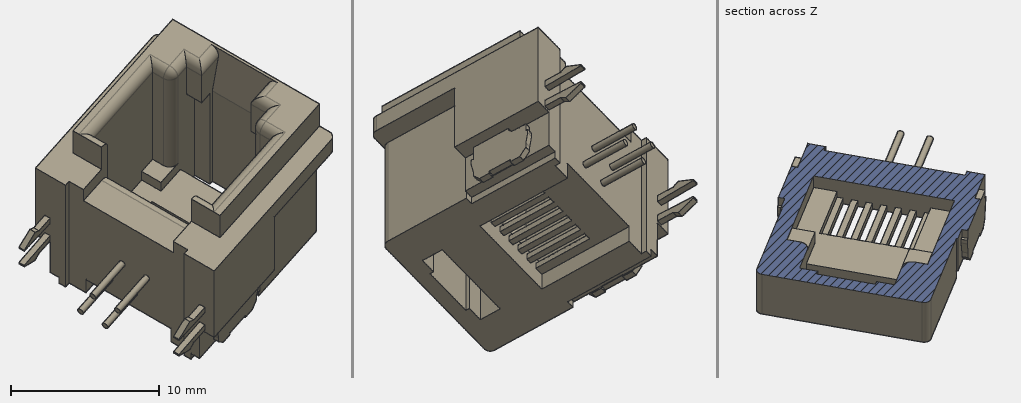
import cadquery as cq


body_height = 14.0
body_depth = 14.0
body_half_width = 6.09
corner_radius = 0.5
wing_half_width = 14.8 / 2
wing_top = 11.51
wing_lip_bottom = 10.0
wing_bottom = 4.0
wing_back = 6.97
collar_front = 2.5
board_recess_half_width = 4.91
board_recess_depth = 0.4

clip_inner = 6.19
clip_outer = 6.63
base_step_half_width = 5.47
base_step_height = 0.65

mouth_radius = 0.7
cavity_half_width = 4.9
cavity_front = 3.21
cavity_back = 10.03
shoulder_half_width = 3.3
shoulder_back = 11.71
key_half_width = 2.04
ledge_height = 10.25
undercut_back = 12.66
rear_wall_base_y = 12.95
rear_wall_top_y = 13.8
rear_wall_half_width = 3.06
front_notch_half_width = 3.72

floor_height = 2.5
floor_back = 11.02
corner_block_front = 8.77
corner_block_top = 3.47
contact_bed_half_width = 3.26
contact_bed_back = 7.7
contact_bed_height = 2.0
contact_count = 6
contact_pitch = 1.02
contact_slot_width = 0.58
bottom_pocket_half_width = 3.52
bottom_pocket_height = 1.5

pin_radius = 0.24
protrusion = 3.0
upper_pin_z = 5.7
lower_pin_z = 3.16
pin_centres = [
    (-contact_pitch / 2, upper_pin_z),
    (1.5 * contact_pitch, upper_pin_z),
    (-1.5 * contact_pitch, lower_pin_z),
    (contact_pitch / 2, lower_pin_z),
]


def block(half_width, y_range, z_range):
    """Box symmetric about X = 0."""
    return span_block((-half_width, half_width), y_range, z_range)


def span_block(x_range, y_range, z_range):
    """Box between the given limits."""
    size = [high - low for low, high in (x_range, y_range, z_range)]
    corner = (x_range[0], y_range[0], z_range[0])
    return cq.Workplane("XY").box(*size, centered=False).translate(corner)


def both_sides(shape):
    """The shape together with its mirror image across X = 0."""
    return shape.union(shape.mirror("YZ"))


def side_plate(profile):
    """Plate as thick as the clip metal, from a (y, z) outline, at the +X side."""
    plate = cq.Workplane("YZ").workplane(offset=clip_inner)
    return plate.polyline(profile).close().extrude(clip_outer - clip_inner)


def make_housing():
    core = block(body_half_width, (collar_front, body_depth), (0, body_height))
    core = core.edges("|Z and >Y").fillet(corner_radius)
    collar = block(body_half_width, (collar_front, body_depth), (wing_top, body_height))
    base = block(clip_inner, (0, wing_back), (0, wing_bottom))
    wings = block(wing_half_width, (0, wing_back), (wing_bottom, wing_top))
    lip = block(wing_half_width, (0, body_depth), (wing_lip_bottom, wing_top))
    lip = lip.edges("|Z and >Y").fillet(corner_radius)
    housing = core.union(collar).union(base).union(wings).union(lip)

    base_step = span_block(
        (base_step_half_width, wing_half_width), (0, wing_back), (0, base_step_height)
    )
    board_recess = block(board_recess_half_width, (0, board_recess_depth), (0, wing_top))
    return housing.cut(both_sides(base_step)).cut(board_recess)


def cut_cavity(housing):
    half_outline = [
        (cavity_half_width, cavity_front),
        (cavity_half_width, cavity_back),
        (shoulder_half_width, cavity_back),
        (shoulder_half_width, shoulder_back),
        (key_half_width, shoulder_back),
        (key_half_width, body_depth),
    ]
    mirrored = [(-x, y) for x, y in reversed(half_outline)]
    cavity = (
        cq.Workplane("XY")
        .workplane(offset=floor_height)
        .polyline(half_outline + mirrored)
        .close()
        .extrude(body_height - floor_height)
    )
    housing = housing.cut(cavity)

    reach = 0.02
    mouth = cq.selectors.BoxSelector(
        (-cavity_half_width - reach, cavity_front - reach, body_height - reach),
        (cavity_half_width + reach, body_depth - reach, body_height + reach),
    )
    uprights = [
        cq.selectors.BoxSelector(
            (x - reach, cavity_back - reach, 0), (x + reach, cavity_back + reach, body_height)
        )
        for x in (-shoulder_half_width, shoulder_half_width)
    ]
    return housing.edges(mouth + uprights[0] + uprights[1]).fillet(mouth_radius)


def add_rear_wall(housing):
    """Wall behind the key slot, leaning back above the ledge height."""
    profile = [
        (body_depth, 0),
        (rear_wall_base_y, 0),
        (rear_wall_base_y, ledge_height),
        (rear_wall_top_y, body_height),
        (body_depth, body_height),
    ]
    wall = cq.Workplane("YZ").polyline(profile).close().extrude(rear_wall_half_width, both=True)
    return housing.union(wall)


def cut_latch_passage(housing):
    """Undercut below the shoulders and the opening down through the bottom."""
    undercut = block(shoulder_half_width, (shoulder_back, undercut_back), (0, ledge_height))
    key_slot = block(key_half_width, (floor_back, rear_wall_base_y), (0, ledge_height))
    drop = block(shoulder_half_width, (floor_back, undercut_back), (0, floor_height))
    return housing.cut(undercut).cut(key_slot).cut(drop)


def cut_front_notch(housing):
    notch = block(front_notch_half_width, (0, cavity_front), (ledge_height, body_height))
    housing = housing.cut(notch)
    sill = cq.selectors.NearestToPointSelector((0, cavity_front, ledge_height))
    return housing.edges("|X").edges(sill).fillet(mouth_radius)


def shape_floor(housing):
    corner_block = span_block(
        (shoulder_half_width, cavity_half_width),
        (corner_block_front, cavity_back + mouth_radius),
        (floor_height, corner_block_top),
    )
    housing = housing.union(both_sides(corner_block))

    contact_bed = block(
        contact_bed_half_width, (cavity_front, contact_bed_back), (contact_bed_height, floor_height)
    )
    bottom_pocket = block(
        bottom_pocket_half_width, (0, contact_bed_back), (0, bottom_pocket_height)
    )
    housing = housing.cut(contact_bed).cut(bottom_pocket)

    slot = block(contact_slot_width / 2, (cavity_front, contact_bed_back), (0, floor_height))
    for index in range(contact_count):
        offset = (index - (contact_count - 1) / 2) * contact_pitch
        housing = housing.cut(slot.translate((offset, 0, 0)))
    return housing


def make_clip():
    """Flat clip under the wing, with barbed sides and a notched foot."""
    shelf_z = 3.48
    shelf_radius = wing_bottom - shelf_z
    shelf_end_y = 2.55
    outline = [
        (5.98, 2.82),
        (6.19, 2.82),
        (6.19, 2.5),
        (5.98, 1.53),
        (5.98, 1.12),
        (5.47, 0.51),
        (4.68, 0.51),
        (4.68, 0.71),
        (2.9, 0.71),
        (2.9, 0.51),
        (2.1, 0.51),
        (1.6, 1.12),
        (1.6, 1.53),
        (1.45, 2.5),
        (1.45, 2.82),
        (1.6, 2.82),
        (1.6, shelf_z),
        (shelf_end_y, shelf_z),
    ]
    clip = cq.Workplane("YZ").workplane(offset=clip_inner).moveTo(5.98, wing_bottom)
    for point in outline:
        clip = clip.lineTo(*point)
    clip = clip.tangentArcPoint((shelf_end_y + shelf_radius, wing_bottom), relative=False)
    return clip.close().extrude(clip_outer - clip_inner)


def make_board_legs():
    """Two snap legs whose barbs point away from each other."""
    barb_start = -1.3
    barb_peak = -1.73
    upper = [
        (0, 6.19),
        (0, 6.78),
        (barb_start, 6.78),
        (barb_peak, 7.09),
        (-protrusion, 6.45),
        (-protrusion, 6.32),
    ]
    lower = [
        (0, 4.81),
        (0, 4.22),
        (barb_start, 4.22),
        (barb_peak, 3.91),
        (-protrusion, 4.55),
        (-protrusion, 4.73),
    ]
    return side_plate(upper).union(side_plate(lower))


def make_pins():
    pin_plane = cq.Workplane("XZ").workplane(offset=-board_recess_depth)
    pins = pin_plane.pushPoints(pin_centres).circle(pin_radius)
    return pins.extrude(protrusion + board_recess_depth)


body = make_housing()
body = cut_cavity(body)
body = add_rear_wall(body)
body = cut_latch_passage(body)
body = cut_front_notch(body)
body = shape_floor(body)

result = body.union(both_sides(make_clip())).union(both_sides(make_board_legs())).union(make_pins())